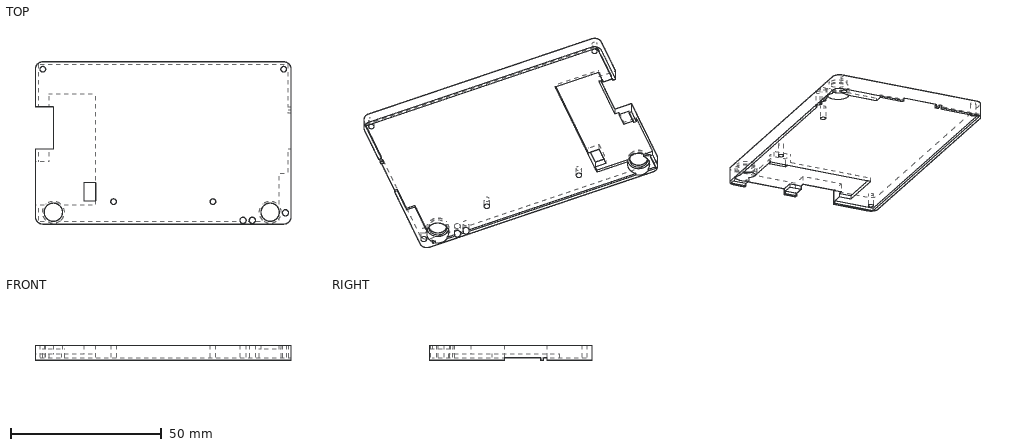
import cadquery as cq

length = 85.0
width = 54.0
thickness = 5.0
corner_radius = 2.5

rim = 1.0
recess_depth = 0.9
recess_step_x = 81.0
recess_step_y = 16.8

notch_depth = 6.0
notch_y_min = 25.0
notch_y_max = 39.0
post_width = 1.0
post_y_center = 37.4

roof_window_x = 16.2
roof_window_y = 7.8
roof_window_length = 3.8
roof_window_width = 6.0

pocket_depth = 2.1
pocket_x_max = roof_window_x + roof_window_length
channel_y_min = 6.4
channel_y_max = 20.8
bay_x_min = 4.5
bay_side_margin = notch_y_min - channel_y_max

large_hole_diameter = 6.0
large_counterbore_diameter = 7.3
large_hole_roof = 1.2
large_hole_points = [(6.0, 4.0), (78.0, 4.0)]
screw_hole_diameter = 1.8
screw_inset = 2.5
screw_hole_points = [
    (screw_inset, width - screw_inset),
    (length - screw_inset, width - screw_inset),
    (26.0, 7.5),
    (59.0, 7.5),
]
strap_hole_diameter = 2.0
strap_hole_points = [(69.0, 1.3), (72.1, 1.3), (83.1, 3.8)]


def block(x_min, x_max, y_min, y_max, height):
    """Box standing on the underside plane, given by its limits in X and Y."""
    size = (x_max - x_min, y_max - y_min, height)
    return cq.Workplane("XY").box(*size, centered=False).translate((x_min, y_min, 0))


def cylinders(points, diameter, height):
    """Round cutters standing on the underside plane."""
    return cq.Workplane("XY").pushPoints(points).circle(diameter / 2).extrude(height)


def plate():
    return block(0, length, 0, width, thickness).edges("|Z").fillet(corner_radius)


def lid_recess():
    narrow = block(rim, recess_step_x, rim, recess_step_y, recess_depth)
    wide = block(rim, length - rim, recess_step_y, width - rim, recess_depth)
    return narrow.union(wide)


def pockets():
    channel = block(0, pocket_x_max, channel_y_min, channel_y_max, pocket_depth)
    bay_y_max = notch_y_max + bay_side_margin
    bay = block(bay_x_min, pocket_x_max, channel_y_max, bay_y_max, pocket_depth)
    return channel.union(bay)


def rim_opening():
    """Gap in the +X rim, divided by a narrow post."""
    gap = block(length - rim, length, notch_y_min, notch_y_max, recess_depth)
    post_y_min = post_y_center - post_width / 2
    post = block(length - rim, length, post_y_min, post_y_min + post_width, recess_depth)
    return gap.cut(post)


def notch():
    return block(0, notch_depth, notch_y_min, notch_y_max, thickness)


def roof_window():
    return block(
        roof_window_x,
        roof_window_x + roof_window_length,
        roof_window_y,
        roof_window_y + roof_window_width,
        thickness,
    )


def large_holes():
    through = cylinders(large_hole_points, large_hole_diameter, thickness)
    counterbores = cylinders(
        large_hole_points, large_counterbore_diameter, thickness - large_hole_roof
    )
    return through.union(counterbores)


result = plate()
for cutter in (lid_recess(), pockets(), rim_opening(), notch(), roof_window(), large_holes()):
    result = result.cut(cutter)
result = result.cut(cylinders(screw_hole_points, screw_hole_diameter, thickness))
result = result.cut(cylinders(strap_hole_points, strap_hole_diameter, thickness))